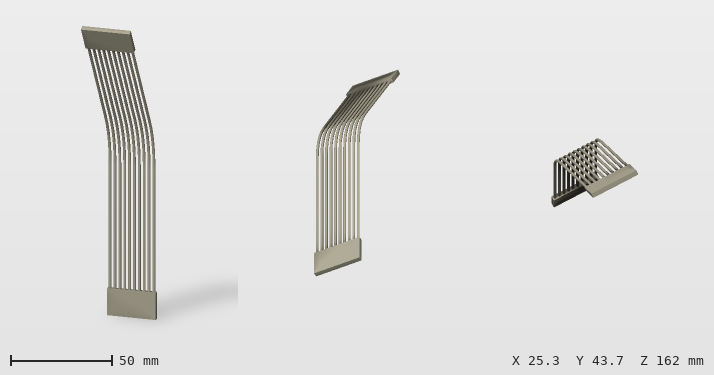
import cadquery as cq
import math

total_height = 162.0
total_depth = 43.7

block_width = 25.3
block_thickness = 2.5
block_height = 14.0

wire_count = 10
wire_diameter = 1.4
wire_row_width = 22.8
wire_pitch = wire_row_width / (wire_count - 1)

bend_radius = 50.0
bend_angle = 31.3

lean_y = math.sin(math.radians(bend_angle))
lean_z = math.cos(math.radians(bend_angle))

bend_reach = bend_radius * (1 - lean_z)
bend_rise = bend_radius * lean_y

half_thickness = block_thickness / 2
upper_reach = total_depth - half_thickness * (1 + lean_z) - bend_reach
upper_run = upper_reach / lean_y - block_height
upper_rise = (upper_run + block_height) * lean_z + half_thickness * lean_y
lower_run = total_height - block_height - bend_rise - upper_rise

wire_start = (0, block_height)
bend_start = (0, block_height + lower_run)
bend_end = (-bend_reach, bend_start[1] + bend_rise)
wire_end = (bend_end[0] - upper_run * lean_y, bend_end[1] + upper_run * lean_z)

half_angle = math.radians(bend_angle / 2)
bend_middle = (
    -bend_radius * (1 - math.cos(half_angle)),
    bend_start[1] + bend_radius * math.sin(half_angle),
)


def make_block():
    """Connector block standing on the origin, centered in X and Y."""
    return cq.Workplane("XY").box(
        block_width, block_thickness, block_height, centered=(True, True, False)
    )


def make_wire(x):
    """One wire swept along the cable centerline at the given X."""
    path = (
        cq.Workplane("YZ", origin=(x, 0, 0))
        .moveTo(*wire_start)
        .lineTo(*bend_start)
        .threePointArc(bend_middle, bend_end)
        .lineTo(*wire_end)
    )
    section = cq.Workplane("XY", origin=(x, 0, block_height)).circle(wire_diameter / 2)
    return section.sweep(path)


lower_block = make_block()
upper_block = (
    make_block()
    .rotate((0, 0, 0), (1, 0, 0), bend_angle)
    .translate((0, *wire_end))
)

result = lower_block.union(upper_block)
for index in range(wire_count):
    wire_x = index * wire_pitch - wire_row_width / 2
    result = result.union(make_wire(wire_x))